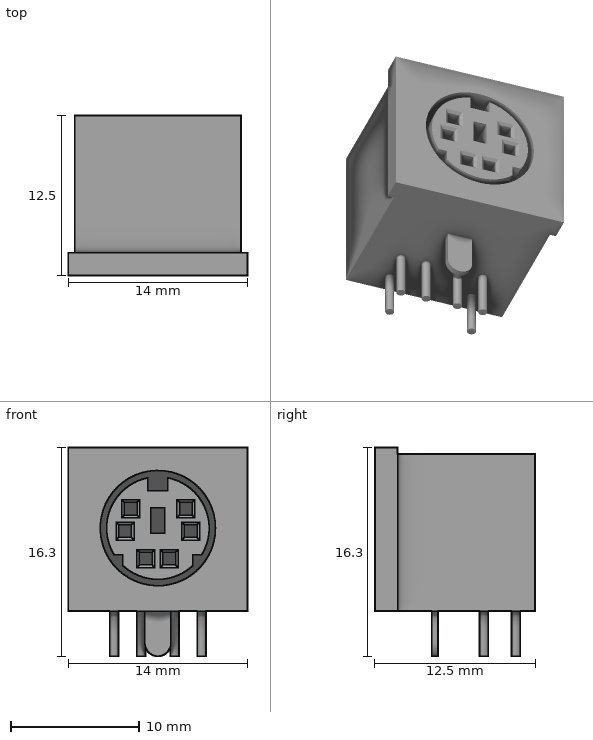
import cadquery as cq

flange_width = 14.0
flange_height = 12.78
flange_thickness = 1.8
body_width = 13.0
body_top_step = 0.5
body_height = flange_height - body_top_step
total_depth = 12.5

face_center_z = 6.49
groove_diameter = 9.0
plug_diameter = 8.0
groove_depth = 6.52

top_key_width = 1.56
top_key_floor_z = 2.9
side_key_inner_x = 2.72
side_key_top_z = -2.07

slot_width = 1.08
slot_height = 1.99
slot_center_z = 0.6
slot_depth = 6.52

socket_size = 1.0
mouth_size = 1.4
mouth_depth = 0.2
socket_depth = 6.52
socket_positions = [
    (-2.12, 1.52),
    (2.18, 1.52),
    (-2.56, -0.23),
    (2.56, -0.23),
    (-0.95, -2.38),
    (0.88, -2.38),
]

leg_length = 16.3 - flange_height
leg_embed = 0.33
pin_diameter = 0.7
pin_positions = [(3.4, 8.51), (1.3, 8.51), (3.4, 11.0)]
tab_width = 2.02
tab_thickness = 0.5
tab_center_y = 4.7


def face_plane(depth=0):
    """Plane at the given depth, centered on the mating face, looking out toward -Y."""
    return cq.Workplane("XZ", origin=(0, depth, face_center_z))


def front_block(x_min, x_max, z_min, z_max, depth):
    """Block running back from the front, placed relative to the face center."""
    return (
        face_plane()
        .center((x_min + x_max) / 2, (z_min + z_max) / 2)
        .rect(x_max - x_min, z_max - z_min)
        .extrude(-depth)
    )


def make_housing():
    flange = cq.Workplane("XY").box(
        flange_width, flange_thickness, flange_height, centered=(True, False, False)
    )
    body = cq.Workplane("XY").box(body_width, total_depth, body_height, centered=(True, False, False))
    return flange.union(body)


def make_groove():
    """Annular groove including the three keyways that open into it."""
    radius = groove_diameter / 2
    disc = face_plane().circle(radius).extrude(-groove_depth)
    plug = face_plane().circle(plug_diameter / 2).extrude(-groove_depth)
    plug = plug.cut(
        front_block(-top_key_width / 2, top_key_width / 2, top_key_floor_z, radius, groove_depth)
    )
    for x_min, x_max in ((-radius, -side_key_inner_x), (side_key_inner_x, radius)):
        plug = plug.cut(front_block(x_min, x_max, -radius, side_key_top_z, groove_depth))
    return disc.cut(plug)


def make_socket(x, z):
    bore = face_plane().center(x, z).rect(socket_size, socket_size).extrude(-socket_depth)
    mouth = (
        face_plane(mouth_depth)
        .center(x, z)
        .rect(socket_size, socket_size)
        .workplane(offset=mouth_depth)
        .rect(mouth_size, mouth_size)
        .loft(combine=True)
    )
    return bore.union(mouth)


def make_pin(x, y):
    return (
        cq.Workplane("XY", origin=(x, y, -leg_length))
        .circle(pin_diameter / 2)
        .extrude(leg_length + leg_embed)
    )


def make_tab():
    """Flat tab with a full-round lower end."""
    half_width = tab_width / 2
    round_start_z = half_width - leg_length
    return (
        cq.Workplane("XZ", origin=(0, tab_center_y, 0))
        .moveTo(-half_width, leg_embed)
        .lineTo(-half_width, round_start_z)
        .threePointArc((0, -leg_length), (half_width, round_start_z))
        .lineTo(half_width, leg_embed)
        .close()
        .extrude(tab_thickness / 2, both=True)
    )


result = make_housing().cut(make_groove())
result = result.cut(
    front_block(
        -slot_width / 2,
        slot_width / 2,
        slot_center_z - slot_height / 2,
        slot_center_z + slot_height / 2,
        slot_depth,
    )
)
for x, z in socket_positions:
    result = result.cut(make_socket(x, z))
for x, y in pin_positions:
    for side in (-1, 1):
        result = result.union(make_pin(side * x, y))
result = result.union(make_tab())